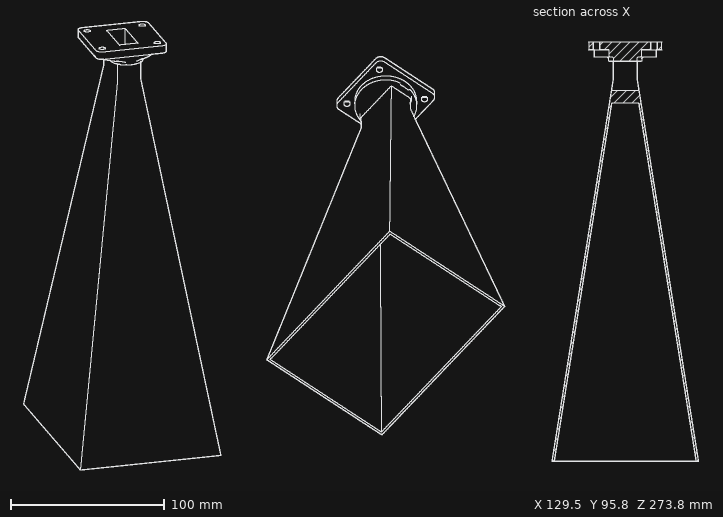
import cadquery as cq

total_height = 273.8
mouth_x = 129.5
mouth_y = 95.8

bore_x = 28.5
bore_y = 12.5
wall = 1.6
throat_z = 249.2

flange_side = 48.0
flange_thickness = 5.2
flange_corner_radius = 4.0
bolt_hole_diameter = 4.0
bolt_spacing_x = 34.2
bolt_spacing_y = 37.5

hub_diameter = 40.5
hub_disc_height = 4.7
bar_height = 2.7
bar_length = 41.0
bar_width = 22.2
bar_fillet_radius = 0.8

tube_x = bore_x + 2 * wall
tube_y = bore_y + 2 * wall
flange_z = total_height - flange_thickness
hub_disc_z = flange_z - hub_disc_height
bar_z = hub_disc_z - bar_height


def box_between(size_x, size_y, bottom_z, top_z):
    """Upright rectangular block centred on the Z axis."""
    return cq.Workplane("XY").workplane(offset=bottom_z).rect(size_x, size_y).extrude(top_z - bottom_z)


def flare(mouth_size, throat_size):
    """Straight-sided pyramid frustum from the open mouth up to the throat."""
    return (
        cq.Workplane("XY")
        .rect(*mouth_size)
        .workplane(offset=throat_z)
        .rect(*throat_size)
        .loft(ruled=True)
    )


def make_flange():
    plate = box_between(flange_side, flange_side, flange_z, total_height)
    plate = plate.edges("|Z").fillet(flange_corner_radius)
    return (
        plate.faces(">Z")
        .workplane()
        .rect(bolt_spacing_x, bolt_spacing_y, forConstruction=True)
        .vertices()
        .hole(bolt_hole_diameter)
    )


def make_hub():
    """Plate carrying a round-ended bar, filleted at the bar's rim and root, then trimmed round."""
    plate = box_between(flange_side, flange_side, hub_disc_z, flange_z)
    bar = cq.Workplane("XY").workplane(offset=bar_z).slot2D(bar_length, bar_width).extrude(bar_height)
    hub = plate.union(bar)
    hub = hub.faces("<Z").edges().fillet(bar_fillet_radius)
    root_outline = cq.selectors.LengthNthSelector(0)
    hub = hub.faces("<Z[1]").wires(root_outline).edges().fillet(bar_fillet_radius)
    round_blank = cq.Workplane("XY").workplane(offset=bar_z).circle(hub_diameter / 2)
    return hub.intersect(round_blank.extrude(flange_z - bar_z))


horn = flare((mouth_x, mouth_y), (tube_x, tube_y))
tube = box_between(tube_x, tube_y, throat_z, total_height)
body = horn.union(tube).union(make_flange()).union(make_hub())

waveguide_bore = box_between(bore_x, bore_y, throat_z, total_height)
horn_cavity = flare((mouth_x - 2 * wall, mouth_y - 2 * wall), (bore_x, bore_y))

result = body.cut(waveguide_bore).cut(horn_cavity)